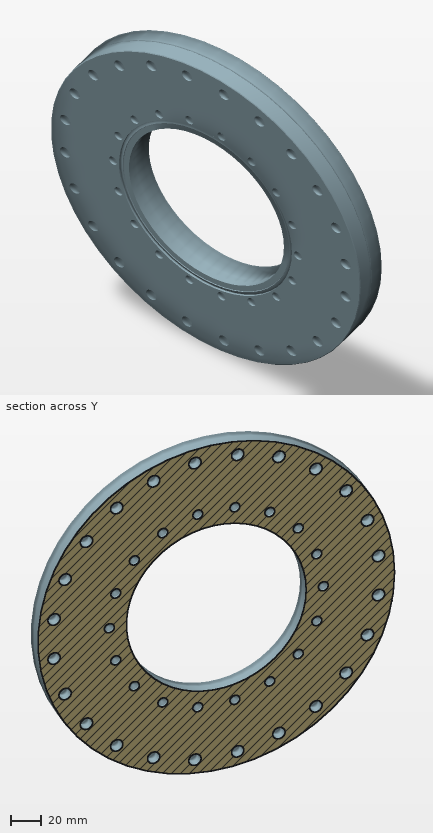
import cadquery as cq
import math

outer_diameter = 254.0
thickness = 24.6
bore_diameter = 127.0
rim_chamfer = 0.5

groove_width = 1.0
groove_depth = 0.5

front_recess_diameter = 141.8
back_recess_diameter = 222.2
recess_depth = 1.65
knife_run = 2.65
knife_angle = 20.0
knife_flank_run = 0.2
seat_depth = 1.15

bolt_count = 24
bolt_circle = 231.9
bolt_diameter = 8.4

tapped_count = 18
tapped_circle = 151.6
tapped_diameter = 6.65
tapped_depth = 14.0
drill_point_angle = 118.0

outer_radius = outer_diameter / 2
bore_radius = bore_diameter / 2
front_y = -thickness / 2
back_y = thickness / 2


def knife_profile(recess_diameter):
    """(radius, depth below the face) from the recess mouth inward to the bore."""
    recess_radius = recess_diameter / 2
    crest_radius = recess_radius - knife_run
    crest_depth = recess_depth - knife_run * math.tan(math.radians(knife_angle))
    return [
        (recess_radius, 0),
        (recess_radius, recess_depth),
        (crest_radius, crest_depth),
        (crest_radius - knife_flank_run, seat_depth),
        (bore_radius, seat_depth),
    ]


def flange_body():
    """Revolve the ring section: chamfered and grooved rim, recess in each face."""
    shoulder_radius = outer_radius - rim_chamfer
    rim = [
        (shoulder_radius, front_y),
        (outer_radius, front_y + rim_chamfer),
        (outer_radius, -groove_width / 2),
        (outer_radius - groove_depth, 0),
        (outer_radius, groove_width / 2),
        (outer_radius, back_y - rim_chamfer),
        (shoulder_radius, back_y),
    ]
    front = [(radius, front_y + depth) for radius, depth in knife_profile(front_recess_diameter)]
    back = [(radius, back_y - depth) for radius, depth in knife_profile(back_recess_diameter)]
    section = rim + back + front[::-1]
    return cq.Workplane("XY").polyline(section).close().revolve(360, (0, 0), (0, 1))


def ring_of_places(count, circle_diameter, start_angle):
    """Evenly spaced points on the -Y face."""
    places = []
    for index in range(count):
        angle = math.radians(start_angle + index * 360 / count)
        x = circle_diameter / 2 * math.cos(angle)
        z = circle_diameter / 2 * math.sin(angle)
        places.append(cq.Vector(x, front_y, z))
    return places


def bolt_hole(place):
    return cq.Solid.makeCylinder(bolt_diameter / 2, thickness, place, cq.Vector(0, 1, 0))


def tapped_hole(place):
    """Blind hole ending in a drill-point cone."""
    inward = cq.Vector(0, 1, 0)
    radius = tapped_diameter / 2
    point_length = radius / math.tan(math.radians(drill_point_angle / 2))
    shank = cq.Solid.makeCylinder(radius, tapped_depth, place, inward)
    point = cq.Solid.makeCone(radius, 0, point_length, place + inward * tapped_depth, inward)
    return shank.fuse(point)


result = flange_body()

for place in ring_of_places(bolt_count, bolt_circle, 180 / bolt_count):
    result = result.cut(cq.Workplane(obj=bolt_hole(place)))

for place in ring_of_places(tapped_count, tapped_circle, 0):
    result = result.cut(cq.Workplane(obj=tapped_hole(place)))